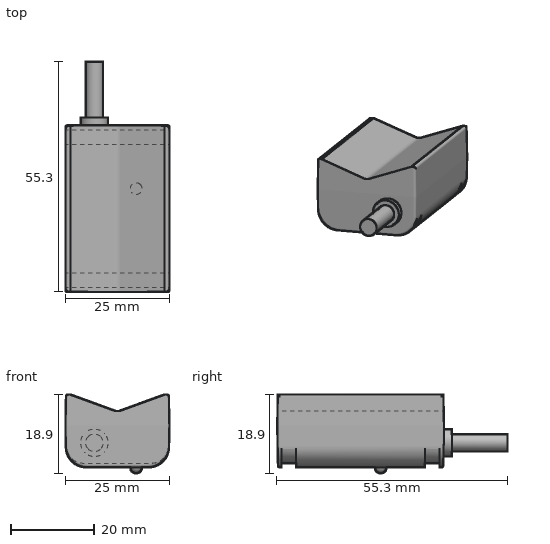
import cadquery as cq
import math


HOUSING_WIDTH = 25.0
HOUSING_LENGTH = 40.0
HEIGHT_ABOVE_PARTING = 7.5
DEPTH_BELOW_PARTING = 10.0
DRAFT_ANGLE = 1.0
BOTTOM_CORNER_RADIUS = 5.1
EDGE_RADIUS = 0.6

GROOVE_DEPTH = 4.0
GROOVE_SLOPE = 20.0
GROOVE_ROOT_RADIUS = 2.1

RECESS_WIDTH = 3.5
RECESS_LEDGE_DEPTH = 5.45
RECESS_FLOOR_DEPTH = 9.0
RECESS_CORNER_RADIUS = 4.5
RECESS_END_WALL = 1.1

DOME_DIAMETER = 2.8
DOME_X = 4.5
DOME_Y = 24.8

CABLE_X = -5.5
CABLE_Z = -4.1
CABLE_DIAMETER = 4.2
CABLE_END_Y = 55.25
GLAND_DIAMETER = 6.6
GLAND_END_Y = 41.9


def drafted_half(height):
    """Block from the parting plane to a signed height, narrowing away from it."""
    return (
        cq.Workplane("XY")
        .center(0, HOUSING_LENGTH / 2)
        .rect(HOUSING_WIDTH, HOUSING_LENGTH)
        .extrude(height, taper=DRAFT_ANGLE)
    )


def v_groove():
    """Cutter for the V groove, with a rounded root of the stated depth."""
    slope = math.radians(GROOVE_SLOPE)
    root_z = HEIGHT_ABOVE_PARTING - GROOVE_DEPTH
    vertex_z = root_z - GROOVE_ROOT_RADIUS * (1 / math.cos(slope) - 1)
    half_width = (HEIGHT_ABOVE_PARTING - vertex_z) / math.tan(slope)
    return (
        cq.Workplane("XZ")
        .moveTo(-half_width, HEIGHT_ABOVE_PARTING)
        .lineTo(0, vertex_z)
        .lineTo(half_width, HEIGHT_ABOVE_PARTING)
        .close()
        .extrude(-HOUSING_LENGTH)
        .edges("<Z")
        .fillet(GROOVE_ROOT_RADIUS)
    )


def make_upper_half():
    """Grooved half; its outer long edges and upright corner edges are rounded."""
    grooved = drafted_half(HEIGHT_ABOVE_PARTING).cut(v_groove())
    return grooved.faces("<X or >X").edges("not <Z").fillet(EDGE_RADIUS)


def make_lower_half():
    """Half with large bottom corners; the outlines of its end walls are rounded."""
    cornered = drafted_half(-DEPTH_BELOW_PARTING).edges("<Z").edges("|Y").fillet(BOTTOM_CORNER_RADIUS)
    return cornered.faces("<Y or >Y").edges("not >Z").fillet(EDGE_RADIUS)


def clip_recess(start_y):
    """Cutter that strips the underside, below the ledge, down to a shallower rounded core."""
    band = (
        cq.Workplane("XY", origin=(0, start_y, -DEPTH_BELOW_PARTING))
        .box(
            HOUSING_WIDTH,
            RECESS_WIDTH,
            DEPTH_BELOW_PARTING - RECESS_LEDGE_DEPTH,
            centered=(True, False, False),
        )
    )
    core = (
        cq.Workplane("XY", origin=(0, start_y, -RECESS_FLOOR_DEPTH))
        .box(HOUSING_WIDTH, RECESS_WIDTH, RECESS_FLOOR_DEPTH, centered=(True, False, False))
        .edges("<Z and |Y")
        .fillet(RECESS_CORNER_RADIUS)
    )
    return band.cut(core)


def rod_along_y(diameter, start_y, end_y):
    """Round rod on the cable axis."""
    return (
        cq.Workplane("XZ", origin=(CABLE_X, start_y, CABLE_Z))
        .circle(diameter / 2)
        .extrude(start_y - end_y)
    )


def make_housing():
    housing = make_upper_half().union(make_lower_half())
    back_recess_y = HOUSING_LENGTH - RECESS_END_WALL - RECESS_WIDTH
    for start_y in (RECESS_END_WALL, back_recess_y):
        housing = housing.cut(clip_recess(start_y))
    dome_centre = (DOME_X, DOME_Y, -DEPTH_BELOW_PARTING)
    dome = cq.Workplane("XY", origin=dome_centre).sphere(DOME_DIAMETER / 2)
    gland = rod_along_y(GLAND_DIAMETER, HOUSING_LENGTH - EDGE_RADIUS, GLAND_END_Y)
    return housing.union(dome).union(gland)


def make_cable():
    return rod_along_y(CABLE_DIAMETER, GLAND_END_Y, CABLE_END_Y)


housing = make_housing()
cable = make_cable()
result = cq.Compound.makeCompound([housing.val(), cable.val()])